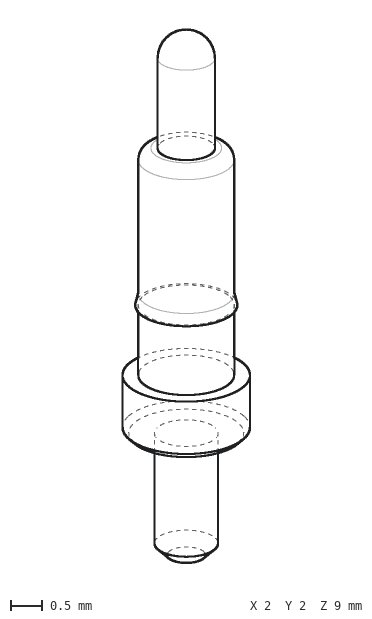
import cadquery as cq

tail_diameter = 1.0
flange_diameter = 2.0
barrel_diameter = 1.5
barb_diameter = 1.6
plunger_diameter = 0.9

flange_bottom = 2.1
flange_top = 3.1
barb_bottom = 4.3
barb_top = 4.5
barrel_top = 7.0
total_height = 9.0

tail_chamfer = 0.2
flange_chamfer = 0.1
barrel_fillet = 0.2


def cylinder(diameter, bottom, top):
    """Cylinder on the pin axis between two heights."""
    return cq.Workplane("XY").workplane(offset=bottom).circle(diameter / 2).extrude(top - bottom)


tail = cylinder(tail_diameter, 0, flange_bottom).faces("<Z").edges().chamfer(tail_chamfer)

flange = cylinder(flange_diameter, flange_bottom, flange_top).faces("<Z").edges().chamfer(flange_chamfer)

barrel = cylinder(barrel_diameter, flange_top, barrel_top).faces(">Z").edges().fillet(barrel_fillet)

barb = (
    cq.Workplane("XY")
    .workplane(offset=barb_bottom)
    .circle(barb_diameter / 2)
    .workplane(offset=barb_top - barb_bottom)
    .circle(barrel_diameter / 2)
    .loft(ruled=True)
)

dome_radius = plunger_diameter / 2
dome_center = total_height - dome_radius
plunger = cylinder(plunger_diameter, barrel_top, dome_center)
dome = (
    cq.Workplane("XZ")
    .moveTo(0, dome_center)
    .lineTo(dome_radius, dome_center)
    .radiusArc((0, total_height), -dome_radius)
    .close()
    .revolve(360, (0, 0, 0), (0, 1, 0))
)

result = tail.union(flange).union(barrel).union(barb).union(plunger).union(dome)